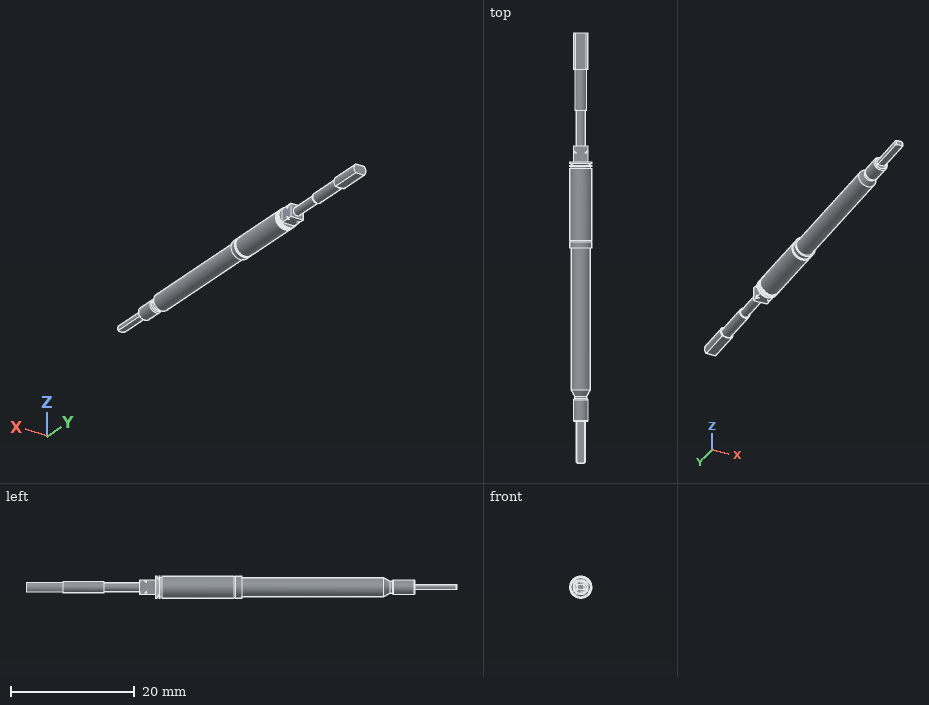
import cadquery as cq
import math

overall_length = 69.5
front_end = overall_length / 2
back_end = -overall_length / 2

blade_length = 5.9
blade_radius = 1.15
blade_thickness = 1.6
shank_length = 6.6
shank_radius = 0.93
rod_length = 5.75
rod_radius = 0.75
shank_front = front_end - blade_length
rod_front = shank_front - shank_length

square_width = 2.4
square_length = 2.55
corner_clearance = 0.01
envelope_radius = square_width / 2 * math.sqrt(2) + corner_clearance
notch_offset = 0.65
notch_length = 0.45
notch_radius = 1.4
square_front = rod_front - rod_length

collar_radius = 1.8
collar_front = square_front - square_length
lip_width = 0.25
undercut_radius = 1.2
undercut_length = 0.35
ring_width = 0.15
relief_radius = 1.6
relief_width = 0.3
rear_groove_offset = 1.0
rear_groove_width = 0.25
rear_groove_depth = 0.1

barrel_radius = 1.55
barrel_length = 22.9
barrel_taper_length = 1.0
neck_radius = 1.0
neck_length = 0.4
nose_radius = 1.2
nose_length = 3.7
nose_chamfer = 0.2
tail_radius = 0.74
tail_thickness = 0.8
tail_chamfer = 0.2
barrel_back = -barrel_length
neck_front = barrel_back - barrel_taper_length
nose_front = neck_front - neck_length
nose_back = nose_front - nose_length


def turned(profile):
    """Revolve a list of (y, radius) points about the Y axis."""
    outline = [(profile[0][0], 0), *profile, (profile[-1][0], 0)]
    return cq.Workplane("YZ").polyline(outline).close().revolve(360, (0, 0, 0), (1, 0, 0))


def cylinder(y_front, y_back, radius):
    """Plain round bar on the Y axis."""
    return turned([(y_front, radius), (y_back, radius)])


def slab(y_front, y_back, width, thickness):
    """Rectangular bar centred on the Y axis."""
    length = y_front - y_back
    return cq.Workplane("XY").box(width, length, thickness).translate((0, y_back + length / 2, 0))


def make_blade():
    round_bar = cylinder(front_end, shank_front, blade_radius)
    return round_bar.intersect(slab(front_end, shank_front, 2 * blade_radius, blade_thickness))


def make_shank():
    return turned([
        (shank_front, shank_radius),
        (rod_front, shank_radius),
        (rod_front, rod_radius),
        (square_front, rod_radius),
    ])


def make_square_head():
    notch_front = square_front - notch_offset
    notch_back = notch_front - notch_length
    envelope = turned([
        (square_front, envelope_radius),
        (notch_front, envelope_radius),
        (notch_back, notch_radius),
        (notch_back, envelope_radius),
        (collar_front, envelope_radius),
    ])
    return slab(square_front, collar_front, square_width, square_width).intersect(envelope)


def make_body():
    lip_back = collar_front - lip_width
    ring_front = lip_back - undercut_length
    ring_back = ring_front - ring_width
    relief_back = ring_back - relief_width
    groove_back = rear_groove_offset
    groove_front = groove_back + rear_groove_width
    groove_radius = collar_radius - rear_groove_depth
    return turned([
        (collar_front, collar_radius),
        (lip_back, collar_radius),
        (ring_front, undercut_radius),
        (ring_front, collar_radius),
        (ring_back, collar_radius),
        (ring_back, relief_radius),
        (relief_back, relief_radius),
        (relief_back, collar_radius),
        (groove_front, collar_radius),
        (groove_front, groove_radius),
        (groove_back, groove_radius),
        (groove_back, collar_radius),
        (0, collar_radius),
        (0, barrel_radius),
        (barrel_back, barrel_radius),
        (neck_front, neck_radius),
        (nose_front, neck_radius),
        (nose_front - nose_chamfer, nose_radius),
        (nose_back + nose_chamfer, nose_radius),
        (nose_back, nose_radius - nose_chamfer),
    ])


def make_tail():
    round_bar = turned([
        (nose_back, tail_radius),
        (back_end + tail_chamfer, tail_radius),
        (back_end, tail_radius - tail_chamfer),
    ])
    return round_bar.intersect(slab(nose_back, back_end, 2 * tail_radius, tail_thickness))


result = make_body()
for section in (make_square_head(), make_shank(), make_blade(), make_tail()):
    result = result.union(section)